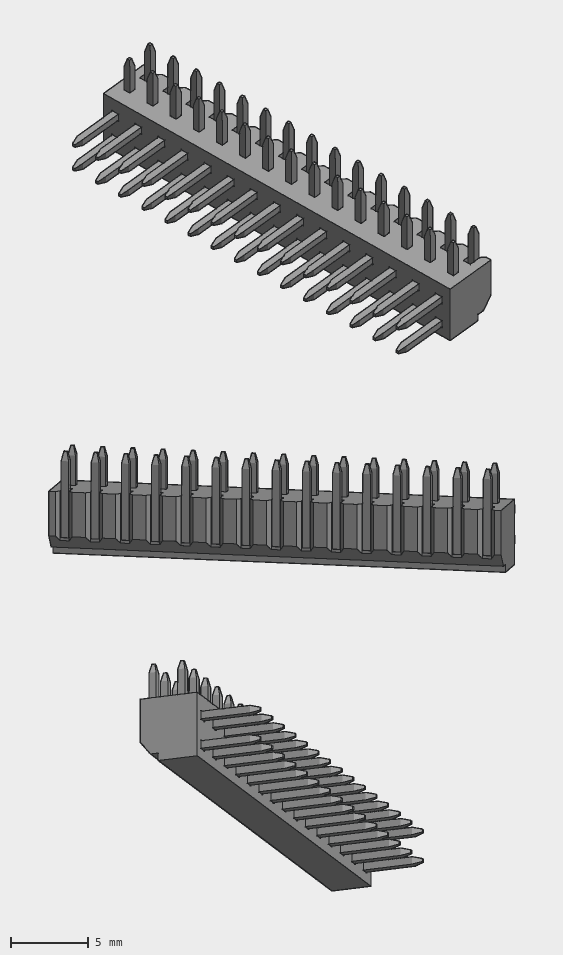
import cadquery as cq


body_length = 30.0
body_depth = 4.0
body_height = 4.32
foot_setback = 1.25
foot_height = 0.5
rear_chamfer_depth = 0.72
rear_chamfer_height = 0.87

pin_columns = 15
pitch = body_length / pin_columns
pin_width = 0.5
tip_width = 0.2
tip_length = 0.63
pin_rise = 2.58
pin_reach = 4.02
rear_pin_inset = 0.57
lower_pin_height = 1.0
pin_root = 0.6
bend_depth = 0.15
bend_height = 0.105

opening_width = 0.6
front_recess_depth = 0.3
notch_mouth_width = 1.1
slot_length = 0.95

rear_row_y = body_depth - rear_pin_inset
front_row_y = rear_row_y - pitch
row_heights = (lower_pin_height, lower_pin_height + pitch)
notch_floor_y = rear_row_y + opening_width / 2
pin_front_y = rear_row_y - pin_width / 2
slot_floor_z = lower_pin_height + pin_width / 2

column_positions = [(i - (pin_columns - 1) / 2) * pitch for i in range(pin_columns)]


def make_body():
    """Extrude the stepped and chamfered end profile along X."""
    profile = [
        (0, 0),
        (body_depth - foot_setback, 0),
        (body_depth - foot_setback, foot_height),
        (body_depth - rear_chamfer_depth, foot_height),
        (body_depth, foot_height + rear_chamfer_height),
        (body_depth, body_height),
        (0, body_height),
    ]
    return cq.Workplane("YZ").polyline(profile).close().extrude(body_length / 2, both=True)


def make_notch():
    """Tapered notch through the full height of the rear face, at X = 0."""
    outline = [
        (-notch_mouth_width / 2, body_depth),
        (-opening_width / 2, notch_floor_y),
        (opening_width / 2, notch_floor_y),
        (notch_mouth_width / 2, body_depth),
    ]
    return cq.Workplane("XY").polyline(outline).close().extrude(body_height)


def make_slot():
    """Opening for a rear pin, from the notch forward and down to the bend of the pin, at X = 0."""
    slot_centre_y = notch_floor_y - slot_length / 2
    slot = cq.Workplane("XY").rect(opening_width, slot_length).extrude(body_height - slot_floor_z)
    return slot.translate((0, slot_centre_y, slot_floor_z))


def make_front_recess(z):
    """Square clearance in the front face around a forward pin, at X = 0."""
    recess = cq.Workplane("XZ").rect(opening_width, opening_width).extrude(-front_recess_depth)
    return recess.translate((0, 0, z))


def make_pin(length, root):
    """Square pin along +Z with a tapered tip; Z = 0 is where it leaves the body."""
    shank_length = length - tip_length
    shank = cq.Workplane("XY").rect(pin_width, pin_width).extrude(root + shank_length)
    tip = (
        cq.Workplane("XY")
        .workplane(offset=shank_length)
        .rect(pin_width, pin_width)
        .workplane(offset=tip_length)
        .rect(tip_width, tip_width)
        .loft(combine=True)
    )
    return shank.translate((0, 0, -root)).union(tip)


def make_bend():
    """Sloped wedge between the front of a rear pin and the slot floor, at X = 0."""
    profile = [
        (pin_front_y, slot_floor_z),
        (pin_front_y - bend_depth, slot_floor_z),
        (pin_front_y, slot_floor_z + bend_height),
    ]
    return cq.Workplane("YZ").polyline(profile).close().extrude(pin_width / 2, both=True)


def repeat_along_row(feature):
    """Copies of a feature at every column, gathered into one compound."""
    copies = [feature.translate((x, 0, 0)).val() for x in column_positions]
    return cq.Workplane(cq.Compound.makeCompound(copies))


front_upright_pin = make_pin(pin_rise, 0).translate((0, front_row_y, body_height))
rear_upright_pin = make_pin(pin_rise, body_height - slot_floor_z).translate((0, rear_row_y, body_height))
bent_pin = rear_upright_pin.union(make_bend())
forward_pin = make_pin(pin_reach, pin_root).rotate((0, 0, 0), (1, 0, 0), 90)

result = make_body().cut(repeat_along_row(make_notch().union(make_slot())))
result = result.union(repeat_along_row(front_upright_pin))
result = result.union(repeat_along_row(bent_pin))

for row_height in row_heights:
    result = result.cut(repeat_along_row(make_front_recess(row_height)))
    result = result.union(repeat_along_row(forward_pin.translate((0, 0, row_height))))

result = result.solids()